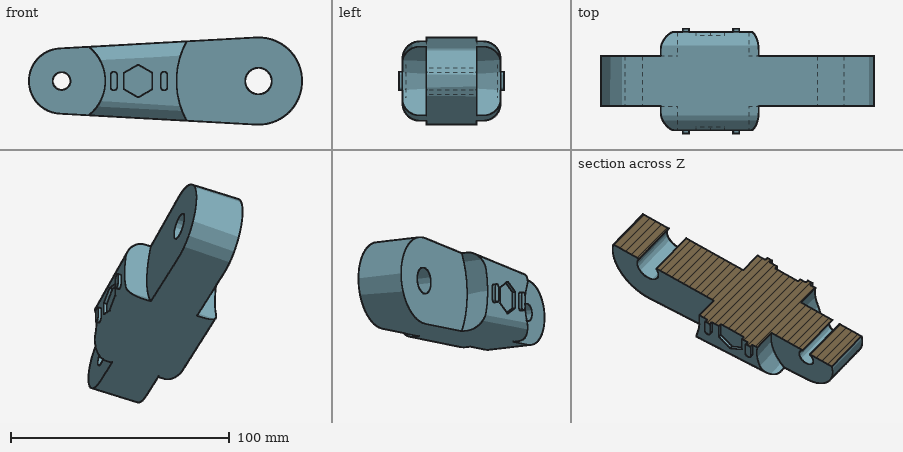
import cadquery as cq
import math

eye_spacing = 90
small_eye_radius = 15
large_eye_radius = 20
small_bore_diameter = 8.0
large_bore_diameter = 12.0
arm_width = 23.0

pad_width = 45
pad_fillet = 8.0
small_hollow_radius = 20
large_hollow_radius = 37.5

hexagon_x = 35
hexagon_corner_diameter = 15
hexagon_depth = 1.5
rib_pair_x = 35.4
rib_offset = 11.5
rib_length = 8.5
rib_thickness = 3.0
rib_height = 1.5

flank_angle = math.asin((large_eye_radius - small_eye_radius) / eye_spacing)


def flank_point(eye_x, eye_radius):
    """Point where the upper flank touches an eye."""
    return (eye_x - eye_radius * math.sin(flank_angle), eye_radius * math.cos(flank_angle))


def mid_plane(x=0):
    return cq.Workplane("XZ", origin=(x, 0, 0))


def cylinder(x, radius, width):
    """Cylinder across the arm, centred on its mid plane."""
    return mid_plane(x).circle(radius).extrude(width / 2, both=True)


small_x, small_z = flank_point(0, small_eye_radius)
large_x, large_z = flank_point(eye_spacing, large_eye_radius)


def arm():
    """Solid arm with a round end at each eye."""
    return (
        mid_plane()
        .moveTo(small_x, small_z)
        .lineTo(large_x, large_z)
        .threePointArc((eye_spacing + large_eye_radius, 0), (large_x, -large_z))
        .lineTo(small_x, -small_z)
        .threePointArc((-small_eye_radius, 0), (small_x, small_z))
        .close()
        .extrude(arm_width / 2, both=True)
    )


def pads():
    """Tapered block with rounded long edges, hollowed at both ends."""
    block = (
        mid_plane()
        .polyline([(small_x, small_z), (large_x, large_z), (large_x, -large_z), (small_x, -small_z)])
        .close()
        .extrude(pad_width / 2, both=True)
    )
    block = block.faces(">Z or <Z").edges(">Y or <Y").fillet(pad_fillet)
    block = block.cut(cylinder(0, small_hollow_radius, pad_width))
    return block.cut(cylinder(eye_spacing, large_hollow_radius, pad_width))


def ribs():
    """Raised upright ribs, running through to both pad faces."""
    return (
        mid_plane(rib_pair_x)
        .pushPoints([(-rib_offset, 0), (rib_offset, 0)])
        .slot2D(rib_length, rib_thickness, 90)
        .extrude(pad_width / 2 + rib_height, both=True)
    )


def hexagon_pockets():
    """Hexagonal recesses, points up, one in each pad face."""
    prism = (
        mid_plane(hexagon_x)
        .transformed(rotate=(0, 0, 90))
        .polygon(6, hexagon_corner_diameter)
        .extrude(pad_width / 2, both=True)
    )
    core = cylinder(hexagon_x, hexagon_corner_diameter / 2, pad_width - 2 * hexagon_depth)
    return prism.cut(core)


result = arm().union(pads()).union(ribs()).cut(hexagon_pockets())
result = result.cut(cylinder(0, small_bore_diameter / 2, arm_width))
result = result.cut(cylinder(eye_spacing, large_bore_diameter / 2, arm_width))